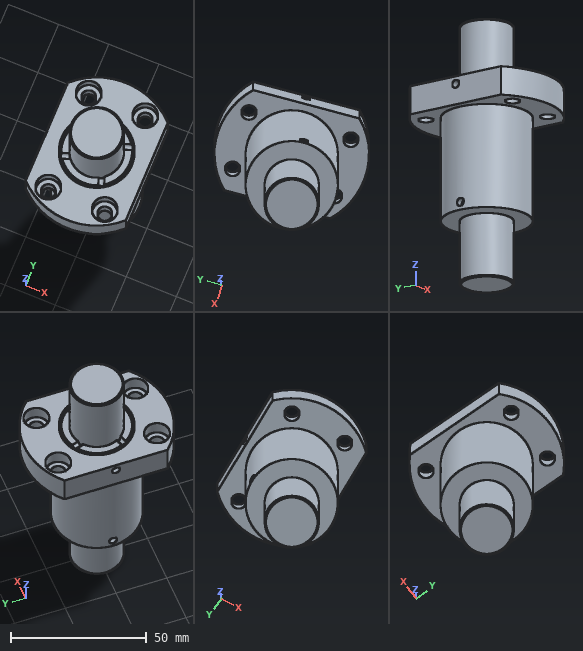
import cadquery as cq
import math

shaft_length = 100.0
shaft_diameter = 20.0
shaft_chamfer = 0.5

body_diameter = 34.0
body_length = 40.0
flange_diameter = 57.0
flange_width = 40.0
flange_thickness = 11.0
nut_bottom = (shaft_length - body_length - flange_thickness) / 2
flange_bottom = nut_bottom + body_length
nut_top = flange_bottom + flange_thickness

bolt_circle_diameter = 45.0
bolt_angle = 60.0
bolt_hole_diameter = 5.5
counterbore_diameter = 9.5
counterbore_depth = 5.5

radial_hole_diameter = 3.0
radial_hole_end_distance = 3.0
radial_hole_inner_radius = 14.0

groove_diameter = 27.0
groove_depth = 0.5
groove_half_width = 0.5
clearance_diameter = 20.2
clearance_depth = 1.5

slot_count = 4
slot_width = 2.2
slot_angle = 18.0
slot_offset = 2.6


def cylinder(diameter, bottom, height):
    return cq.Workplane("XY").workplane(offset=bottom).circle(diameter / 2).extrude(height)


def make_flange():
    disc = cylinder(flange_diameter, flange_bottom, flange_thickness)
    flats = (
        cq.Workplane("XY")
        .workplane(offset=flange_bottom)
        .rect(flange_width, flange_diameter)
        .extrude(flange_thickness)
    )
    return disc.intersect(flats)


def mounting_hole(x, y):
    bore = cylinder(bolt_hole_diameter, flange_bottom, flange_thickness)
    counterbore = cylinder(counterbore_diameter, nut_top - counterbore_depth, counterbore_depth)
    return bore.union(counterbore).translate((x, y, 0))


def radial_hole(height):
    return (
        cq.Workplane("YZ")
        .workplane(offset=-flange_width / 2)
        .center(0, height)
        .circle(radial_hole_diameter / 2)
        .extrude(flange_width / 2 - radial_hole_inner_radius)
    )


def end_groove():
    """V-groove around the ring face, deepest at groove_diameter."""
    radius = groove_diameter / 2
    return (
        cq.Workplane("XZ")
        .moveTo(radius + groove_half_width, nut_top)
        .lineTo(radius, nut_top - groove_depth)
        .lineTo(radius - groove_half_width, nut_top)
        .close()
        .revolve(360, (0, 0, 0), (0, 1, 0))
    )


def ring_slot(angle):
    """U-shaped slot parallel to a radius, open upwards, from the shaft to the groove."""
    slot_radius = slot_width / 2
    far_side = slot_offset + slot_radius
    inner_radius = shaft_diameter / 2
    outer_radius = groove_diameter / 2
    start = math.sqrt(inner_radius**2 - far_side**2)
    end = math.sqrt(outer_radius**2 - far_side**2)
    return (
        cq.Workplane("YZ")
        .workplane(offset=start)
        .center(slot_offset, nut_top)
        .moveTo(-slot_radius, slot_radius)
        .lineTo(-slot_radius, 0)
        .threePointArc((0, -slot_radius), (slot_radius, 0))
        .lineTo(slot_radius, slot_radius)
        .close()
        .extrude(end - start)
        .rotate((0, 0, 0), (0, 0, 1), angle)
    )


nut = cylinder(body_diameter, nut_bottom, body_length).union(make_flange())

bolt_x = bolt_circle_diameter / 2 * math.cos(math.radians(bolt_angle))
bolt_y = bolt_circle_diameter / 2 * math.sin(math.radians(bolt_angle))
for x in (-bolt_x, bolt_x):
    for y in (-bolt_y, bolt_y):
        nut = nut.cut(mounting_hole(x, y))

nut = nut.cut(end_groove())
nut = nut.cut(cylinder(clearance_diameter, nut_top - clearance_depth, clearance_depth))

for index in range(slot_count):
    nut = nut.cut(ring_slot(slot_angle + index * 360 / slot_count))

for height in (nut_bottom + radial_hole_end_distance, nut_top - radial_hole_end_distance):
    nut = nut.cut(radial_hole(height))

shaft = cylinder(shaft_diameter, 0, shaft_length).faces("<Z or >Z").chamfer(shaft_chamfer)
result = nut.union(shaft)